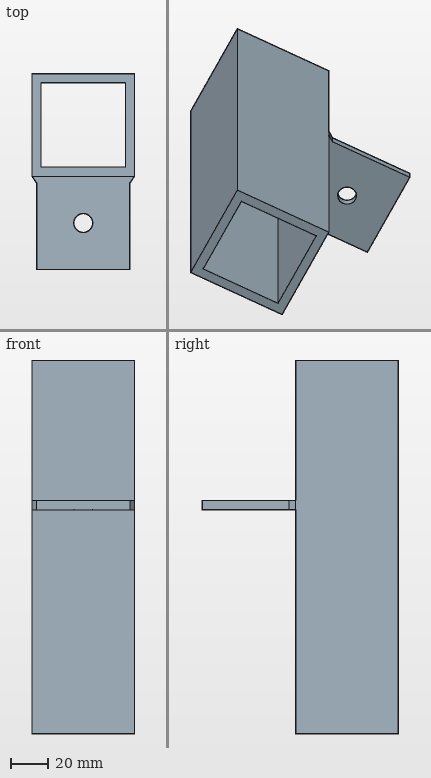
import cadquery as cq

tube_width = 55.0
tube_height = 200.0
tube_wall = 5.0

tab_width = 50.0
tab_reach = 50.0
tab_thickness = 5.0
tab_top = 125.0
flare_length = 3.5
hole_diameter = 10.0
hole_to_tip = tab_reach / 2

tube_face_y = -tube_width / 2
tab_tip_y = tube_face_y - tab_reach


def make_tube():
    """Square tube, open at both ends."""
    bore_width = tube_width - 2 * tube_wall
    return (
        cq.Workplane("XY")
        .rect(tube_width, tube_width)
        .rect(bore_width, bore_width)
        .extrude(tube_height)
    )


def make_tab():
    """Flat tab that flares out to the tube width at its root, with one through hole."""
    half_root = tube_width / 2
    half_tab = tab_width / 2
    flare_end_y = tube_face_y - flare_length
    outline = [
        (-half_root, tube_face_y),
        (-half_tab, flare_end_y),
        (-half_tab, tab_tip_y),
        (half_tab, tab_tip_y),
        (half_tab, flare_end_y),
        (half_root, tube_face_y),
    ]
    plate = (
        cq.Workplane("XY")
        .workplane(offset=tab_top - tab_thickness)
        .polyline(outline)
        .close()
        .extrude(tab_thickness)
    )
    hole = (
        cq.Workplane("XY")
        .workplane(offset=tab_top - tab_thickness)
        .center(0, tab_tip_y + hole_to_tip)
        .circle(hole_diameter / 2)
        .extrude(tab_thickness)
    )
    return plate.cut(hole)


tube = make_tube()
tab = make_tab()

result = cq.Compound.makeCompound([tube.val(), tab.val()])